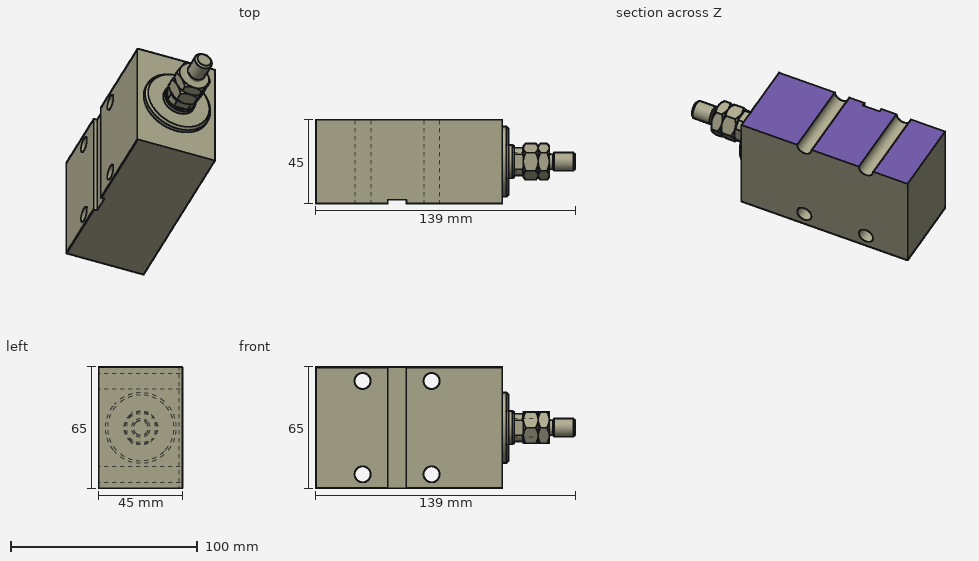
import cadquery as cq
import math

block_length = 100.0
block_depth = 45.0
block_height = 65.0
edge_chamfer = 0.3
front_y = -block_depth / 2
back_y = block_depth / 2

hole_diameter = 8.5
hole_spacing_x = 37.0
hole_spacing_z = 50.0
hole_center_x = 43.5
slot_width = 10.0
slot_depth = 2.1

boss_diameter = 38.0
boss_length = 3.3
boss_chamfer = 1.3

collar_diameter = 18.1
collar_length = 2.9
collar_chamfer_length = 0.8
wrench_round_diameter = 17.0
wrench_flats = 15.0
wrench_length = 5.0
wrench_end_chamfer = 0.4

hex_flats = 17.0
hex_corners = hex_flats / math.cos(math.radians(30))
nut_length = 7.9
stud_hex_length = 6.0
hex_chamfer_angle = 45
hex_face_diameter = hex_flats

total_length = 139.0
thread_diameter = 10.0
thread_chamfer = 1.1
relief_diameter = 8.2
relief_fillet = 0.7
relief_length = 2.0
relief_ramp = 0.8

socket_depth = 6.0

boss_end = block_length + boss_length
wrench_start = boss_end + collar_length
rod_end = wrench_start + wrench_length
nut_end = rod_end + nut_length
stud_hex_end = nut_end + stud_hex_length
socket_end = rod_end - socket_depth


def cylinder(diameter, start, end):
    """Cylinder on the rod axis between two stations along X."""
    return cq.Workplane("YZ", origin=(start, 0, 0)).circle(diameter / 2).extrude(end - start)


def turned(profile):
    """Solid of revolution about the rod axis from an (x, radius) profile that it closes."""
    return profile.close().revolve(360, (0, 0, 0), (1, 0, 0))


def chamfered_hexagon(start, end):
    """Hexagonal prism along X with flats facing +Z and -Z and both ends turned to a cone."""
    prism = (
        cq.Workplane("YZ", origin=(start, 0, 0))
        .polygon(6, hex_corners)
        .extrude(end - start)
    )
    face_radius = hex_face_diameter / 2
    middle = (start + end) / 2
    middle_radius = face_radius + (middle - start) * math.tan(math.radians(hex_chamfer_angle))
    double_cone = turned(
        cq.Workplane("XZ")
        .moveTo(start, 0)
        .lineTo(start, face_radius)
        .lineTo(middle, middle_radius)
        .lineTo(end, face_radius)
        .lineTo(end, 0)
    )
    return prism.intersect(double_cone)


def make_housing():
    block = (
        cq.Workplane("XY")
        .box(block_length, block_depth, block_height)
        .translate((block_length / 2, 0, 0))
        .faces("<Y")
        .edges("|X")
        .chamfer(edge_chamfer)
    )
    slot = cq.Workplane("XY").box(slot_width, 2 * slot_depth, block_height)
    slot = slot.translate((hole_center_x, front_y, 0))
    holes = (
        cq.Workplane("XZ", origin=(hole_center_x, back_y, 0))
        .rarray(hole_spacing_x, hole_spacing_z, 2, 2)
        .circle(hole_diameter / 2)
        .extrude(block_depth)
    )
    boss = cylinder(boss_diameter, block_length, boss_end).faces(">X").chamfer(boss_chamfer)
    rod_bore = cylinder(collar_diameter, block_length, boss_end)
    return block.cut(slot).cut(holes).union(boss).cut(rod_bore)


def make_rod():
    collar = turned(
        cq.Workplane("XZ")
        .moveTo(block_length, 0)
        .lineTo(block_length, collar_diameter / 2)
        .lineTo(wrench_start - collar_chamfer_length, collar_diameter / 2)
        .lineTo(wrench_start, wrench_round_diameter / 2)
        .lineTo(wrench_start, 0)
    )
    square = (
        cq.Workplane("YZ", origin=(wrench_start, 0, 0))
        .rect(wrench_flats, wrench_flats)
        .extrude(wrench_length)
    )
    round_stock = cylinder(wrench_round_diameter, wrench_start, rod_end)
    wrench_section = round_stock.faces(">X").chamfer(wrench_end_chamfer).intersect(square)
    return collar.union(wrench_section).cut(cylinder(thread_diameter, socket_end, rod_end))


def make_locknut():
    return chamfered_hexagon(rod_end, nut_end).cut(cylinder(thread_diameter, rod_end, nut_end))


def make_stud():
    thread_radius = thread_diameter / 2
    relief_radius = relief_diameter / 2
    relief_end = stud_hex_end + relief_length
    fillet_reach = relief_fillet * (1 - math.sqrt(0.5))
    threaded_end = turned(
        cq.Workplane("XZ")
        .moveTo(stud_hex_end, 0)
        .lineTo(stud_hex_end, relief_radius + relief_fillet)
        .threePointArc(
            (stud_hex_end + fillet_reach, relief_radius + fillet_reach),
            (stud_hex_end + relief_fillet, relief_radius),
        )
        .lineTo(relief_end, relief_radius)
        .lineTo(relief_end + relief_ramp, thread_radius)
        .lineTo(total_length - thread_chamfer, thread_radius)
        .lineTo(total_length, thread_radius - thread_chamfer)
        .lineTo(total_length, 0)
    )
    shank = cylinder(thread_diameter, socket_end, nut_end)
    return chamfered_hexagon(nut_end, stud_hex_end).union(shank).union(threaded_end)


housing = make_housing()
rod = make_rod()
locknut = make_locknut()
stud = make_stud()

bodies = [housing, rod, locknut, stud]
result = cq.Compound.makeCompound([body.solids().val() for body in bodies])